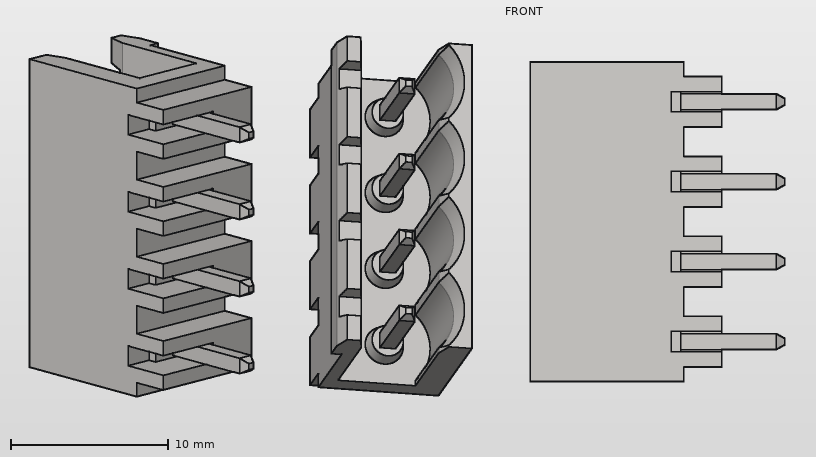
import cadquery as cq

HEIGHT = 20.32
POLES = 4
PITCH = HEIGHT / POLES
HOUSING_DEPTH = 12.2
HOUSING_WIDTH = 7.82
FLOOR_X = 8.1
CAVITY_LOW_Y = 1.87
CAVITY_HIGH_Y = 6.9
POLE_Y = 3.9
POLE_HEIGHTS = [PITCH * (i + 0.5) for i in range(POLES)]

LEAD_IN = 1.36
LOW_TIP_Y = 1.5
HIGH_TIP_INNER_Y = 7.25
HIGH_TIP_OUTER_Y = 8.13
HOOK_LENGTH = 2.99
HOOK_Y = 8.5

NOTCH_DEPTH = 1.05
NOTCH_FLOOR_WIDTH = 1.35
NOTCH_MOUTH_WIDTH = 1.77

GROOVE_RADIUS = 2.99
GROOVE_MOUTH_RADIUS = 3.41

FOOT_START_X = 9.77
FOOT_HEIGHT = 3.23
SLOT_HEIGHT = 1.3
SLOT_START_X = 8.98
SLOT_DEEP_START_X = 9.57

PIN_SIZE = 1.02
PIN_TIP_SIZE = 0.4
PIN_START_X = 0.93
PIN_END_X = 16.2
PIN_TAPER = 0.55
COLLAR_LENGTH = 1.02
COLLAR_BASE_RADIUS = 1.24
COLLAR_TIP_RADIUS = 1.02


def box(x_range, y_range, z_range):
    """Box given by its limits along each axis."""
    (x0, x1), (y0, y1), (z0, z1) = x_range, y_range, z_range
    return cq.Workplane("XY").box(x1 - x0, y1 - y0, z1 - z0, centered=False).translate((x0, y0, z0))


def centered_range(middle, size):
    return middle - size / 2, middle + size / 2


def cross_section(x, z):
    """Plane facing +X at depth x, centred on the pole at height z."""
    return cq.Workplane("YZ", origin=(x, POLE_Y, z))


def make_housing():
    """U-shaped channel with tapered wall tips and a hook along the high wall."""
    outline = [
        (0, 0),
        (HOUSING_DEPTH, 0),
        (HOUSING_DEPTH, HOUSING_WIDTH),
        (HOOK_LENGTH, HOUSING_WIDTH),
        (HOOK_LENGTH, HOOK_Y),
        (LEAD_IN, HOOK_Y),
        (0, HIGH_TIP_OUTER_Y),
        (0, HIGH_TIP_INNER_Y),
        (LEAD_IN, CAVITY_HIGH_Y),
        (FLOOR_X, CAVITY_HIGH_Y),
        (FLOOR_X, CAVITY_LOW_Y),
        (LEAD_IN, CAVITY_LOW_Y),
        (0, LOW_TIP_Y),
    ]
    return cq.Workplane("XY").polyline(outline).close().extrude(HEIGHT)


def make_notch(z):
    """Trapezoidal notch across the hook, wider at its mouth."""
    outline = [
        (0, z - NOTCH_MOUTH_WIDTH / 2),
        (NOTCH_DEPTH, z - NOTCH_FLOOR_WIDTH / 2),
        (NOTCH_DEPTH, z + NOTCH_FLOOR_WIDTH / 2),
        (0, z + NOTCH_MOUTH_WIDTH / 2),
    ]
    notch = cq.Workplane("XZ").polyline(outline).close().extrude(CAVITY_HIGH_Y - HOOK_Y)
    return notch.translate((0, CAVITY_HIGH_Y, 0))


def make_groove(z):
    """Lower half of a round bore, flared at the mating side, that hollows the low wall."""
    mouth = cross_section(0, z).circle(GROOVE_MOUTH_RADIUS)
    flare = mouth.workplane(offset=LEAD_IN).circle(GROOVE_RADIUS).loft()
    bore = cross_section(LEAD_IN, z).circle(GROOVE_RADIUS).extrude(FLOOR_X - LEAD_IN)
    low_side = box((0, FLOOR_X), (0, POLE_Y), (0, HEIGHT))
    return flare.union(bore).intersect(low_side)


def make_foot_gap(z_range):
    return box((FOOT_START_X, HOUSING_DEPTH), (0, HOUSING_WIDTH), z_range)


def make_pin_slot(z):
    """Slot from the low side, reaching as far as the back of the pin."""
    z_range = centered_range(z, SLOT_HEIGHT)
    shallow = box((SLOT_START_X, HOUSING_DEPTH), (0, CAVITY_LOW_Y), z_range)
    deep = box((SLOT_DEEP_START_X, HOUSING_DEPTH), (0, POLE_Y + PIN_SIZE / 2), z_range)
    return shallow.union(deep)


def make_taper(x, length, start_size, end_size, z):
    """Square frustum along X."""
    base = cross_section(x, z).rect(start_size, start_size)
    return base.workplane(offset=length).rect(end_size, end_size).loft()


def make_pin(z):
    """Square pin with both ends tapered."""
    shank_start = PIN_START_X + PIN_TAPER
    shank_end = PIN_END_X - PIN_TAPER
    shank = cross_section(shank_start, z).rect(PIN_SIZE, PIN_SIZE).extrude(shank_end - shank_start)
    mating_tip = make_taper(PIN_START_X, PIN_TAPER, PIN_TIP_SIZE, PIN_SIZE, z)
    solder_tip = make_taper(shank_end, PIN_TAPER, PIN_SIZE, PIN_TIP_SIZE, z)
    return shank.union(mating_tip).union(solder_tip)


def make_collar(z):
    """Conical collar on the cavity floor around a pin."""
    tip = cross_section(FLOOR_X - COLLAR_LENGTH, z).circle(COLLAR_TIP_RADIUS)
    return tip.workplane(offset=COLLAR_LENGTH).circle(COLLAR_BASE_RADIUS).loft()


result = make_housing()

foot_margin = (PITCH - FOOT_HEIGHT) / 2
result = result.cut(make_foot_gap((0, foot_margin)))
result = result.cut(make_foot_gap((HEIGHT - foot_margin, HEIGHT)))
for boundary in range(1, POLES):
    result = result.cut(make_foot_gap(centered_range(boundary * PITCH, 2 * foot_margin)))

for pole_z in POLE_HEIGHTS:
    result = result.cut(make_notch(pole_z))
    result = result.cut(make_groove(pole_z))
    result = result.cut(make_pin_slot(pole_z))

for pole_z in POLE_HEIGHTS:
    result = result.union(make_collar(pole_z))
    result = result.union(make_pin(pole_z))